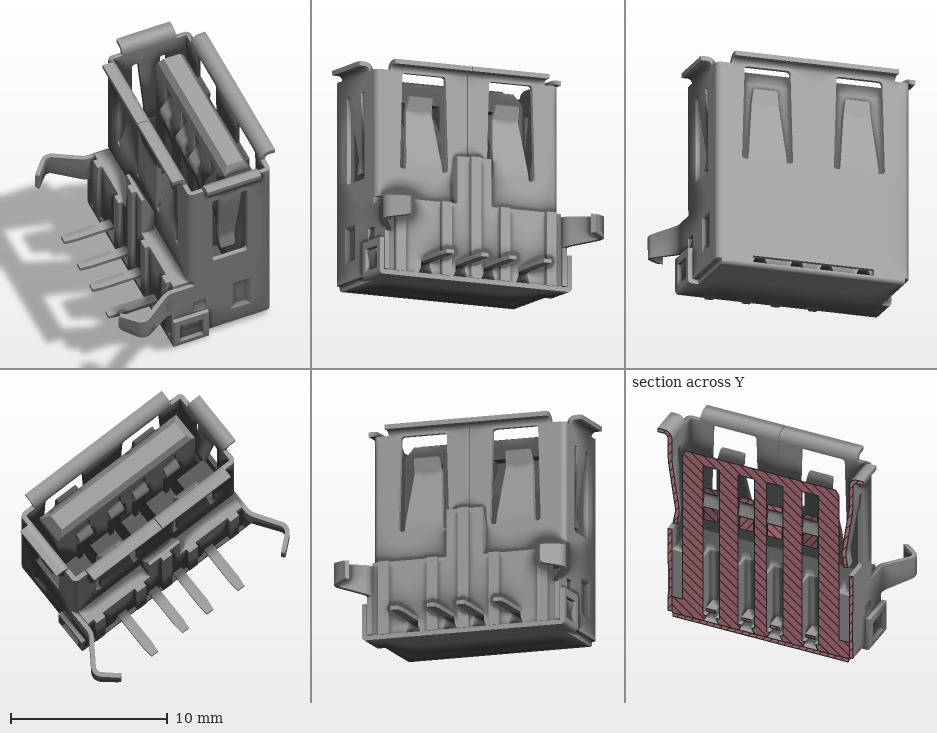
import cadquery as cq
import math


SHEET = 0.3
SHELL_HALF_X = 6.54
SHELL_HALF_Y = 2.87
INNER_HALF_X = SHELL_HALF_X - SHEET
INNER_HALF_Y = SHELL_HALF_Y - SHEET
SHELL_CORNER = 0.35
INNER_CORNER = SHELL_CORNER - SHEET
WALL_TOP = 13.55
WALL_BOTTOM = 0.36
FRONT_Y = -4.05
SEAM = 0.06

FRONT_WALL_BOTTOM = 5.27
SIDE_PLATE_TOP = 4.85
SIDE_STEP_Y = -2.5

LIP_RADIUS = 0.3
LIP_REACH = 0.71
LONG_LIP_WIDTH = 11.06
SHORT_LIP_WIDTH = 3.75

LONG_SPRING_X = 3.11
LONG_WINDOW_TOP = 13.43
LONG_WINDOW_BOTTOM = 7.21
LONG_WINDOW_TOP_WIDTH = 3.1
LONG_WINDOW_BOTTOM_WIDTH = 3.46
LONG_SPRING_BEND_Z = 7.58
LONG_SPRING_ROOT_RADIUS = 3.0
LONG_SPRING_APEX_RADIUS = 0.5
LONG_SPRING_APEX_Z = 11.1
LONG_SPRING_TIP_Z = 12.13
LONG_SPRING_ROOT_WIDTH = 2.62
LONG_SPRING_TIP_WIDTH = 1.62
FRONT_SPRING_DEPTH = 0.77
BACK_SPRING_DEPTH = 0.44
LONG_SPRING_TIP_DEPTH = 0.36

SIDE_WINDOW_TOP = 12.35
SIDE_WINDOW_BOTTOM = 6.67
SIDE_WINDOW_WIDTH = 2.44
SIDE_SPRING_BEND_Z = 11.9
SIDE_SPRING_ROOT_RADIUS = 5.2
SIDE_SPRING_APEX_RADIUS = 1.3
SIDE_SPRING_APEX_Z = 8.18
SIDE_SPRING_TIP_Z = 7.17
SIDE_SPRING_ROOT_WIDTH = 1.5
SIDE_SPRING_TIP_WIDTH = 0.98
SIDE_SPRING_DEPTH = 0.54
SIDE_SPRING_TIP_DEPTH = 0.35

WINDOW_CORNER = 0.2
CUT_REACH = 1.5
SPRING_TIP_CORNER = 0.2

DIMPLE_Y = 0.75
DIMPLE_Z = 2.73
DIMPLE_WIDTH = 1.38
DIMPLE_HEIGHT = 2.38
DIMPLE_FLOOR_WIDTH = 0.8
DIMPLE_FLOOR_HEIGHT = 1.88
DIMPLE_DEPTH = 0.2

FLOOR_BACK_HALF_X = 6.2
FLOOR_BEND = 0.25
BACK_RELIEF_HALF_X = 4.1
EAR_HALF_X = 6.9
EAR_BACK_Y = -1.62
EAR_TOP = 2.38
EAR_WINDOW_BACK_Y = -2.03
EAR_WINDOW_FRONT_Y = -3.64
EAR_WINDOW_BOTTOM = 0.46
EAR_WINDOW_TOP = 1.89
BARB_BACK_Y = -2.07
BARB_FRONT_Y = -3.3
BARB_BOTTOM = 0.95
BARB_TOP = 1.77
BARB_OUT = 0.25

CLIP_BEND_Y = -4.33
CLIP_APEX_X = 8.075
CLIP_APEX_Y = -6.59
CLIP_TIP_X = 6.65
CLIP_TIP_Y = -7.81
CLIP_ROOT_RADIUS = 0.85
CLIP_APEX_RADIUS = 0.38
CLIP_Z = 3.84
CLIP_ROOT_HEIGHT = 2.0
CLIP_TIP_HEIGHT = 1.2
CLIP_TIP_CORNER = 0.25

HOUSING_BOTTOM = SHEET
HOUSING_TOP = 5.08
HOUSING_FRONT_Y = -3.83
RIB_FRONT_Y = -4.14
RIB_WIDTH = 0.7
RIB_XS = (-5.41, -2.1, 0, 2.1, 5.41)

TAB_WIDTH = 2.44
TAB_TOP = 8.17
TAB_BACK_Y = -2.92
TAB_SLOPE_Z = 6.64
TAB_TOP_BACK_Y = -3.63

TONGUE_HALF_X = 5.53
TONGUE_FRONT_Y = 0.14
TONGUE_BACK_Y = 2.09
TONGUE_TOP = 13.47
TONGUE_SIDE_CHAMFER = 0.52
TONGUE_FRONT_CHAMFER = 0.3
TONGUE_TAPER = 30

NOTCH_WIDTH = 2 * (DIMPLE_Y - TONGUE_FRONT_Y)

LATCH_BACK_Y = -1.68
LATCH_FRONT_Y = -2.59
LATCH_BOTTOM = 2.47
LATCH_TOP = 3.32
LATCH_OUT = 0.25

CONTACT_XS = (-3.5, -1.0, 1.0, 3.5)
CONTACT_SHEET = 0.25
TAIL_WIDTH = 0.67
TAIL_TIP_WIDTH = 0.52
TAIL_BOTTOM = 1.06
TAIL_TOP = TAIL_BOTTOM + CONTACT_SHEET
TAIL_TAPER_Y = -6.55
TAIL_TIP_Y = -7.25
BLADE_WIDTH = 1.04
BLADE_FRONT_Y = 0.6
BLADE_BEND_Z = 6.3
BLADE_RADIUS = 0.4
BULGE_Y = -0.33
BULGE_Z = 9.9
BLADE_TOP_Y = 0.84
BLADE_TOP_Z = 11.43

GROOVE_WIDTH = 1.13
GROOVE_FRONT_Y = -0.93
GROOVE_BACK_Y = 1.15
GROOVE_TOP = 12.14
GROOVE_BOTTOM = 0.73
FOOT_WIDTH = 1.04


def block(x0, x1, y0, y1, z0, z1):
    """Box between two opposite corners."""
    return cq.Workplane("XY").box(x1 - x0, y1 - y0, z1 - z0, centered=False).translate((x0, y0, z0))


def both_sides(body):
    """A feature of the +X side together with its mirror image."""
    return body.union(body.mirror("YZ"))


def offset_line(points, distance):
    """Open line moved sideways by a distance to its left, with mitred corners."""
    headings = []
    for start, end in zip(points, points[1:]):
        headings.append(math.atan2(end[1] - start[1], end[0] - start[0]))
    before = [headings[0]] + headings
    after = headings + [headings[-1]]
    moved = []
    for point, angle_in, angle_out in zip(points, before, after):
        middle = (angle_in + angle_out) / 2
        mitre = distance / math.cos((angle_out - angle_in) / 2)
        moved.append((point[0] - mitre * math.sin(middle), point[1] + mitre * math.cos(middle)))
    return moved


def tangent_length(before, corner, after, radius):
    """Distance from a corner to the ends of the arc that rounds it."""
    angle_in = math.atan2(corner[1] - before[1], corner[0] - before[0])
    angle_out = math.atan2(after[1] - corner[1], after[0] - corner[0])
    return abs(radius * math.tan((angle_out - angle_in) / 2))


def toward(start, end, distance):
    """Point at a distance from the start of a line, on the way to its end."""
    share = distance / math.dist(start, end)
    return (start[0] + share * (end[0] - start[0]), start[1] + share * (end[1] - start[1]))


def bent_strip(plane, line, thickness, radii):
    """Closed outline of a strip between a line and its offset, with an arc at every bend.

    A positive thickness lies to the left of the line. Each radius is that of the hollow side of a bend.
    """
    other = offset_line(line, thickness)
    line_radii = [0]
    other_radii = [0]
    for before, corner, after, radius in zip(line, line[1:], line[2:], radii):
        turn = (corner[0] - before[0]) * (after[1] - corner[1])
        turn -= (corner[1] - before[1]) * (after[0] - corner[0])
        strip_is_inside = turn * thickness > 0
        line_radii.append(radius + abs(thickness) if strip_is_inside else radius)
        other_radii.append(radius if strip_is_inside else radius + abs(thickness))
    corners = line + other[::-1]
    corner_radii = line_radii + [0, 0] + other_radii[::-1]

    outline = cq.Workplane(plane).moveTo(*corners[0])
    for i in range(1, len(corners)):
        corner = corners[i]
        if corner_radii[i] == 0:
            outline = outline.lineTo(*corner)
        else:
            setback = tangent_length(corners[i - 1], corner, corners[i + 1], corner_radii[i])
            outline = outline.lineTo(*toward(corner, corners[i - 1], setback))
            outline = outline.tangentArcPoint(toward(corner, corners[i + 1], setback), relative=False)
    return outline.close()


def on_front(body):
    return body.translate((0, -INNER_HALF_Y, 0))


def on_back(body):
    return body.rotate((0, 0, 0), (0, 0, 1), 180).translate((0, INNER_HALF_Y, 0))


def on_right(body):
    return body.rotate((0, 0, 0), (0, 0, 1), 90).translate((INNER_HALF_X, 0, 0))


def wall_lip(width):
    """Lip that curves outward from the top of a wall."""
    arc_y = -SHEET - LIP_RADIUS
    tip_y = -SHEET - LIP_REACH
    outer_radius = LIP_RADIUS + SHEET
    lip_top = WALL_TOP + outer_radius
    lip_under = WALL_TOP + LIP_RADIUS
    outer_mid = outer_radius * math.sqrt(0.5)
    inner_mid = LIP_RADIUS * math.sqrt(0.5)
    return (
        cq.Workplane("YZ").moveTo(0, WALL_TOP)
        .threePointArc((arc_y + outer_mid, WALL_TOP + outer_mid), (arc_y, lip_top))
        .lineTo(tip_y, lip_top)
        .lineTo(tip_y, lip_under)
        .lineTo(arc_y, lip_under)
        .threePointArc((arc_y + inner_mid, WALL_TOP + inner_mid), (-SHEET, WALL_TOP))
        .close()
        .extrude(width / 2, both=True)
    )


def trapezoid(z0, width0, z1, width1):
    """Upright trapezoid prism that passes through a wall and well beyond both its faces."""
    return (
        cq.Workplane("XZ")
        .polyline([(-width0 / 2, z0), (width0 / 2, z0), (width1 / 2, z1), (-width1 / 2, z1)])
        .close()
        .extrude(CUT_REACH, both=True)
    )


def long_window():
    opening = trapezoid(
        LONG_WINDOW_BOTTOM, LONG_WINDOW_BOTTOM_WIDTH, LONG_WINDOW_TOP, LONG_WINDOW_TOP_WIDTH
    )
    return opening.edges("|Y").fillet(WINDOW_CORNER)


def side_window():
    opening = trapezoid(SIDE_WINDOW_BOTTOM, SIDE_WINDOW_WIDTH, SIDE_WINDOW_TOP, SIDE_WINDOW_WIDTH)
    return opening.edges("|Y").fillet(WINDOW_CORNER)


def spring(strip, outline, tip_selector):
    """Spring arm made from a bent strip trimmed to a tapered outline."""
    arm = strip.extrude(LONG_SPRING_ROOT_WIDTH, both=True)
    return arm.intersect(outline.edges("|Y").edges(tip_selector).fillet(SPRING_TIP_CORNER))


def long_spring(depth):
    """Spring arm rising from the bottom edge of a front or back window."""
    line = [
        (0, LONG_WINDOW_BOTTOM),
        (0, LONG_SPRING_BEND_Z),
        (depth, LONG_SPRING_APEX_Z),
        (LONG_SPRING_TIP_DEPTH, LONG_SPRING_TIP_Z),
    ]
    outline = trapezoid(
        LONG_WINDOW_BOTTOM, LONG_SPRING_ROOT_WIDTH, LONG_SPRING_TIP_Z, LONG_SPRING_TIP_WIDTH
    )
    strip = bent_strip("YZ", line, SHEET, [LONG_SPRING_ROOT_RADIUS, LONG_SPRING_APEX_RADIUS])
    return spring(strip, outline, ">Z")


def side_spring():
    """Spring arm hanging from the top edge of a side window."""
    line = [
        (0, SIDE_WINDOW_TOP),
        (0, SIDE_SPRING_BEND_Z),
        (SIDE_SPRING_DEPTH, SIDE_SPRING_APEX_Z),
        (SIDE_SPRING_TIP_DEPTH, SIDE_SPRING_TIP_Z),
    ]
    outline = trapezoid(SIDE_SPRING_TIP_Z, SIDE_SPRING_TIP_WIDTH, SIDE_WINDOW_TOP, SIDE_SPRING_ROOT_WIDTH)
    strip = bent_strip("YZ", line, -SHEET, [SIDE_SPRING_ROOT_RADIUS, SIDE_SPRING_APEX_RADIUS])
    return spring(strip, outline, "<Z")


def dimple_frustum(start_x, width, height):
    """Tapered block that narrows toward -X by the dimple depth, on the +X wall."""
    shrink_y = DIMPLE_WIDTH - DIMPLE_FLOOR_WIDTH
    shrink_z = DIMPLE_HEIGHT - DIMPLE_FLOOR_HEIGHT
    return (
        cq.Workplane("YZ", origin=(start_x, DIMPLE_Y, DIMPLE_Z))
        .rect(width, height)
        .workplane(offset=-DIMPLE_DEPTH)
        .rect(width - shrink_y, height - shrink_z)
        .loft()
    )


def clip():
    """Bent board clip at the front edge of the +X side plate."""
    line = [
        (SHELL_HALF_X, FRONT_Y),
        (SHELL_HALF_X, CLIP_BEND_Y),
        (CLIP_APEX_X, CLIP_APEX_Y),
        (CLIP_TIP_X, CLIP_TIP_Y),
    ]
    strip = bent_strip("XY", line, -SHEET, [CLIP_ROOT_RADIUS, CLIP_APEX_RADIUS])
    band = strip.extrude(CLIP_Z + CLIP_ROOT_HEIGHT)
    outline = (
        cq.Workplane("YZ", origin=(0, 0, CLIP_Z))
        .polyline([
            (FRONT_Y, CLIP_ROOT_HEIGHT / 2),
            (CLIP_TIP_Y, CLIP_TIP_HEIGHT / 2),
            (CLIP_TIP_Y, -CLIP_TIP_HEIGHT / 2),
            (FRONT_Y, -CLIP_ROOT_HEIGHT / 2),
        ])
        .close()
        .extrude(CLIP_APEX_X)
        .edges("|X").edges("<Y").fillet(CLIP_TIP_CORNER)
    )
    return band.intersect(outline)


def shell_tube():
    """Four walls round the mating opening, open at the lower front."""
    height = WALL_TOP - WALL_BOTTOM
    outside = (
        cq.Workplane("XY", origin=(0, 0, WALL_BOTTOM))
        .rect(2 * SHELL_HALF_X, 2 * SHELL_HALF_Y).extrude(height)
        .edges("|Z").fillet(SHELL_CORNER)
    )
    inside = (
        cq.Workplane("XY", origin=(0, 0, WALL_BOTTOM))
        .rect(2 * INNER_HALF_X, 2 * INNER_HALF_Y).extrude(height)
        .edges("|Z").fillet(INNER_CORNER)
    )
    lower_front = block(
        -SHELL_HALF_X, SHELL_HALF_X, -SHELL_HALF_Y, SIDE_STEP_Y, WALL_BOTTOM, FRONT_WALL_BOTTOM
    )
    return outside.cut(inside).cut(lower_front)


def floor_plate():
    """Floor bent forward from the back wall."""
    return (
        block(-FLOOR_BACK_HALF_X, FLOOR_BACK_HALF_X, FRONT_Y, SHELL_HALF_Y, 0, 2 * SHEET)
        .edges("|X").edges(">Y and <Z").fillet(FLOOR_BEND)
        .cut(block(-SHELL_HALF_X, SHELL_HALF_X, FRONT_Y, INNER_HALF_Y, SHEET, 2 * SHEET))
    )


def ears():
    """Upturned ears at the front of the floor, each with a window."""
    channel = (
        block(-EAR_HALF_X, EAR_HALF_X, FRONT_Y, EAR_BACK_Y, 0, EAR_TOP)
        .edges("|Y").edges("<Z").fillet(FLOOR_BEND)
    )
    inner_half_x = EAR_HALF_X - SHEET
    channel = channel.cut(block(-inner_half_x, inner_half_x, FRONT_Y, EAR_BACK_Y, SHEET, EAR_TOP))
    windows = block(
        -EAR_HALF_X, EAR_HALF_X, EAR_WINDOW_FRONT_Y, EAR_WINDOW_BACK_Y, EAR_WINDOW_BOTTOM, EAR_WINDOW_TOP
    )
    return channel.cut(windows)


def side_wedge(start_x, out, front_y, back_y, thick_z, thin_z):
    """Wedge on a +X face, full thickness at one height and nothing at the other."""
    return (
        cq.Workplane("XZ", origin=(0, back_y, 0))
        .polyline([(start_x, thick_z), (start_x + out, thick_z), (start_x, thin_z)])
        .close()
        .extrude(back_y - front_y)
    )


def make_shell():
    shell = shell_tube()
    side_plate = block(INNER_HALF_X, SHELL_HALF_X, FRONT_Y, SIDE_STEP_Y, WALL_BOTTOM, SIDE_PLATE_TOP)
    shell = shell.union(both_sides(side_plate)).union(both_sides(clip()))
    shell = shell.union(floor_plate()).union(ears())
    shell = shell.cut(
        block(-BACK_RELIEF_HALF_X, BACK_RELIEF_HALF_X, INNER_HALF_Y, SHELL_HALF_Y, SHEET, GROOVE_BOTTOM)
    )

    long_lip = wall_lip(LONG_LIP_WIDTH)
    shell = shell.union(on_front(long_lip)).union(on_back(long_lip))
    shell = shell.union(both_sides(on_right(wall_lip(SHORT_LIP_WIDTH))))

    for x in (-LONG_SPRING_X, LONG_SPRING_X):
        window = long_window().translate((x, 0, 0))
        shell = shell.cut(on_front(window)).cut(on_back(window))
        shell = shell.union(on_front(long_spring(FRONT_SPRING_DEPTH).translate((x, 0, 0))))
        shell = shell.union(on_back(long_spring(BACK_SPRING_DEPTH).translate((x, 0, 0))))
    shell = shell.cut(both_sides(on_right(side_window())))
    shell = shell.union(both_sides(on_right(side_spring())))

    bump_height = DIMPLE_HEIGHT - (DIMPLE_WIDTH - NOTCH_WIDTH)
    bump = dimple_frustum(INNER_HALF_X, NOTCH_WIDTH, bump_height)
    dent = dimple_frustum(SHELL_HALF_X, DIMPLE_WIDTH, DIMPLE_HEIGHT)
    shell = shell.union(both_sides(bump)).cut(both_sides(dent))

    latch_hole = block(
        INNER_HALF_X, SHELL_HALF_X, LATCH_FRONT_Y, LATCH_BACK_Y, LATCH_BOTTOM, LATCH_TOP
    )
    barb = side_wedge(SHELL_HALF_X, BARB_OUT, BARB_FRONT_Y, BARB_BACK_Y, BARB_TOP, BARB_BOTTOM)
    shell = shell.cut(both_sides(latch_hole)).union(both_sides(barb))

    lip_tip_y = -SHELL_HALF_Y - LIP_REACH
    lip_top = WALL_TOP + LIP_RADIUS + SHEET
    return shell.cut(block(-SEAM / 2, SEAM / 2, lip_tip_y, -INNER_HALF_Y, FRONT_WALL_BOTTOM, lip_top))


def tongue():
    """Tongue in the mating opening, with a tapered tip."""
    tip_height = TONGUE_SIDE_CHAMFER / math.tan(math.radians(TONGUE_TAPER))
    tip_bottom = TONGUE_TOP - tip_height
    top_front_y = TONGUE_FRONT_Y + TONGUE_FRONT_CHAMFER
    top_back_y = TONGUE_BACK_Y - TONGUE_SIDE_CHAMFER
    body = block(-TONGUE_HALF_X, TONGUE_HALF_X, TONGUE_FRONT_Y, TONGUE_BACK_Y, HOUSING_TOP, tip_bottom)
    tip = (
        cq.Workplane("XY", origin=(0, (top_front_y + top_back_y) / 2, tip_bottom))
        .rect(2 * TONGUE_HALF_X, top_back_y - top_front_y + 2 * TONGUE_SIDE_CHAMFER)
        .extrude(tip_height, taper=TONGUE_TAPER)
    )
    envelope = block(
        -TONGUE_HALF_X, TONGUE_HALF_X, TONGUE_FRONT_Y, TONGUE_BACK_Y, tip_bottom, TONGUE_TOP
    )
    return body.union(tip.intersect(envelope))


def tab():
    """Tall tab at the middle of the front, sloped behind its top."""
    return (
        cq.Workplane("YZ")
        .polyline([
            (HOUSING_FRONT_Y, HOUSING_TOP),
            (TAB_BACK_Y, HOUSING_TOP),
            (TAB_BACK_Y, TAB_SLOPE_Z),
            (TAB_TOP_BACK_Y, TAB_TOP),
            (HOUSING_FRONT_Y, TAB_TOP),
        ])
        .close()
        .extrude(TAB_WIDTH / 2, both=True)
    )


def contact_passage():
    """Groove, tail slot and flared foot that one contact leaves open in the housing."""
    half = GROOVE_WIDTH / 2
    groove = block(-half, half, TONGUE_FRONT_Y, GROOVE_BACK_Y, GROOVE_BOTTOM, GROOVE_TOP)
    well = block(-half, half, GROOVE_FRONT_Y, TONGUE_FRONT_Y, GROOVE_BOTTOM, HOUSING_TOP)
    slot = block(-TAIL_WIDTH / 2, TAIL_WIDTH / 2, HOUSING_FRONT_Y, GROOVE_FRONT_Y, GROOVE_BOTTOM, TAIL_TOP)
    foot = (
        cq.Workplane("XZ", origin=(0, INNER_HALF_Y, 0))
        .polyline([
            (-FOOT_WIDTH / 2, HOUSING_BOTTOM),
            (FOOT_WIDTH / 2, HOUSING_BOTTOM),
            (TAIL_WIDTH / 2, GROOVE_BOTTOM),
            (-TAIL_WIDTH / 2, GROOVE_BOTTOM),
        ])
        .close()
        .extrude(INNER_HALF_Y - HOUSING_FRONT_Y)
    )
    return groove.union(well).union(slot).union(foot)


def make_housing():
    housing = block(
        -INNER_HALF_X, INNER_HALF_X, HOUSING_FRONT_Y, INNER_HALF_Y, HOUSING_BOTTOM, HOUSING_TOP
    )
    housing = housing.edges("|Z and >Y").fillet(INNER_CORNER)
    housing = housing.union(tongue()).union(tab())
    for x in RIB_XS:
        rib_top = TAB_TOP if x == 0 else HOUSING_TOP
        housing = housing.union(
            block(x - RIB_WIDTH / 2, x + RIB_WIDTH / 2, RIB_FRONT_Y, HOUSING_FRONT_Y, HOUSING_BOTTOM, rib_top)
        )
    notch = block(
        TONGUE_HALF_X, INNER_HALF_X, TONGUE_FRONT_Y, TONGUE_FRONT_Y + NOTCH_WIDTH,
        DIMPLE_Z - DIMPLE_HEIGHT / 2, HOUSING_TOP,
    )
    latch = side_wedge(INNER_HALF_X, LATCH_OUT, LATCH_FRONT_Y, LATCH_BACK_Y, LATCH_BOTTOM, LATCH_TOP)
    housing = housing.cut(both_sides(notch)).union(both_sides(latch))
    for x in CONTACT_XS:
        housing = housing.cut(contact_passage().translate((x, 0, 0)))
    return housing


def make_contact():
    """Contact with a straight tail, an upright stem and a wide bulged blade."""
    stem = block(
        -TAIL_WIDTH / 2, TAIL_WIDTH / 2,
        BLADE_FRONT_Y, BLADE_FRONT_Y + CONTACT_SHEET, TAIL_BOTTOM, HOUSING_TOP,
    )
    tail = (
        cq.Workplane("XY", origin=(0, 0, TAIL_BOTTOM))
        .polyline([
            (-TAIL_WIDTH / 2, BLADE_FRONT_Y),
            (-TAIL_WIDTH / 2, TAIL_TAPER_Y),
            (-TAIL_TIP_WIDTH / 2, TAIL_TIP_Y),
            (TAIL_TIP_WIDTH / 2, TAIL_TIP_Y),
            (TAIL_WIDTH / 2, TAIL_TAPER_Y),
            (TAIL_WIDTH / 2, BLADE_FRONT_Y),
        ])
        .close()
        .extrude(CONTACT_SHEET)
    )
    blade_line = [
        (BLADE_FRONT_Y, HOUSING_TOP),
        (BLADE_FRONT_Y, BLADE_BEND_Z),
        (BULGE_Y, BULGE_Z),
        (BLADE_TOP_Y, BLADE_TOP_Z),
    ]
    blade = (
        bent_strip("YZ", blade_line, -CONTACT_SHEET, [BLADE_RADIUS, BLADE_RADIUS])
        .extrude(BLADE_WIDTH / 2, both=True)
    )
    return stem.union(tail).union(blade)


shell = make_shell()
housing = make_housing()
contacts = [make_contact().translate((x, 0, 0)) for x in CONTACT_XS]

result = cq.Compound.makeCompound([
    shell.solids().val(),
    housing.solids().val(),
    *[contact.solids().val() for contact in contacts],
])